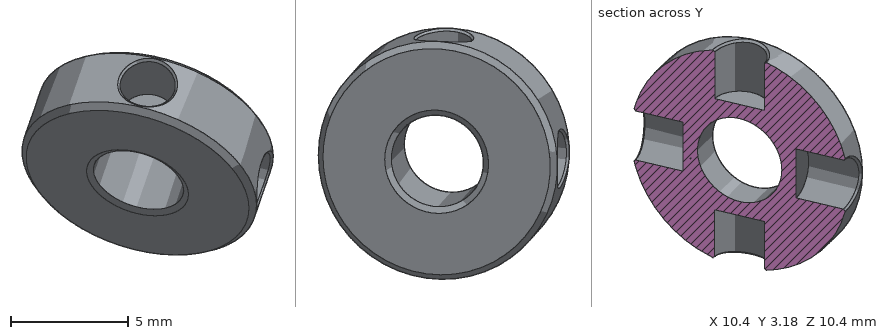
import cadquery as cq
import math

outer_diameter = 10.41
width = 3.18
bore_diameter = 4.0
edge_chamfer = 0.26
bore_countersink_width = 0.26
countersink_slope = math.tan(math.radians(30))

hole_count = 4
hole_diameter = 2.35
hole_chamfer = 0.1
hole_depth = 2.5
rim_clearance = 0.1

outer_radius = outer_diameter / 2
hole_radius = hole_diameter / 2


def make_ring():
    """Ring with 45 degree outer chamfers and a shallower countersink at each end of the bore."""
    half_width = width / 2
    bore_radius = bore_diameter / 2
    countersink_radius = bore_radius + bore_countersink_width
    bore_half_length = half_width - bore_countersink_width * countersink_slope
    upper_profile = [
        (bore_radius, bore_half_length),
        (countersink_radius, half_width),
        (outer_radius - edge_chamfer, half_width),
        (outer_radius, half_width - edge_chamfer),
    ]
    lower_profile = [(radius, -y) for radius, y in reversed(upper_profile)]
    profile = cq.Workplane("XY").polyline(upper_profile + lower_profile).close()
    return profile.revolve(360, (0, 0, 0), (0, 1, 0))


def cut_radial_holes(ring):
    """Cut the flat-bottomed holes and break each curved edge at the rim."""
    hole = cq.Workplane("XY").workplane(offset=outer_radius - hole_depth).circle(hole_radius)
    hole = hole.extrude(hole_depth + rim_clearance)
    for index in range(hole_count):
        angle = index * 360 / hole_count
        ring = ring.cut(hole.rotate((0, 0, 0), (0, 1, 0), angle))
    return ring.edges("%BSPLINE").chamfer(hole_chamfer)


result = cut_radial_holes(make_ring())